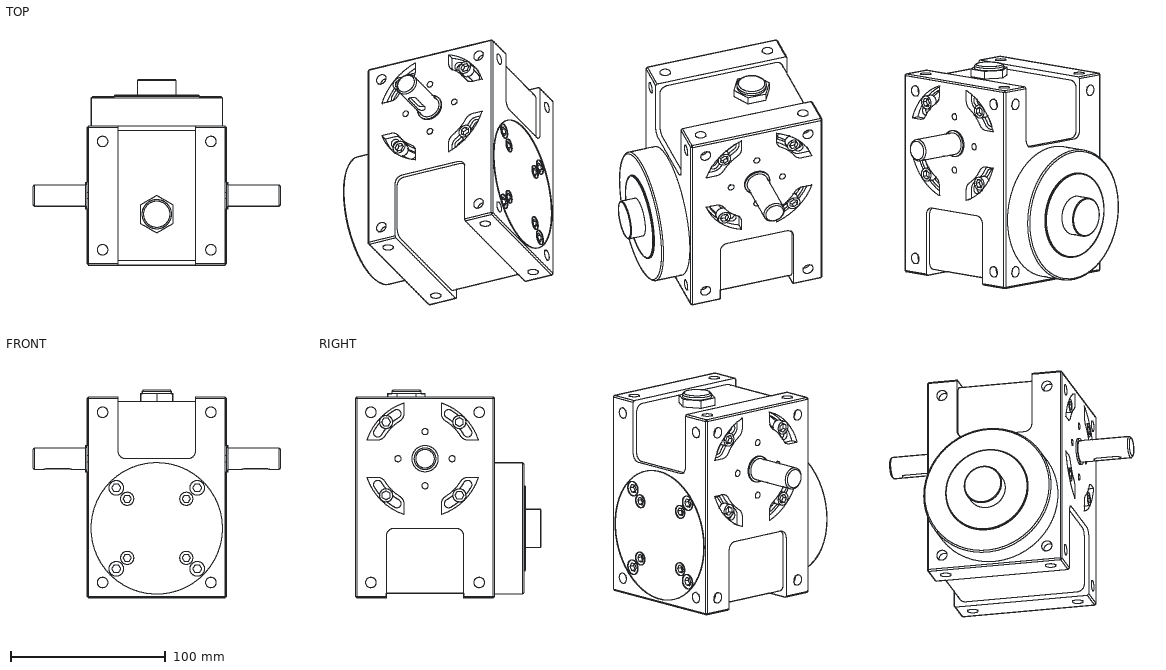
import cadquery as cq
import math


WIDTH = 90.0
HALF_WIDTH = WIDTH / 2
CENTRE_DISTANCE = 45.0
BOTTOM_Z = -HALF_WIDTH
TOP_Z = 85.0
HEIGHT = TOP_Z - BOTTOM_Z
MID_Z = (TOP_Z + BOTTOM_Z) / 2
HOUSING_CHAMFER = 1.0

SADDLE_WIDTH = 50.0
SADDLE_DEPTH = 3.0
SADDLE_RADIUS = 5.0
TOP_SADDLE_HEIGHT = TOP_Z - CENTRE_DISTANCE
BOTTOM_SADDLE_HEIGHT = -BOTTOM_Z

MOUNT_HOLE_DIAMETER = 6.8
MOUNT_HOLE_DEPTH = 6.0
MOUNT_HOLE_INSET = 10.0

FLANGE_DIAMETER = 85.0
FLANGE_END_Y = 64.0
FLANGE_CHAMFER = 1.0
SHOULDER_DIAMETER = 55.0
SHOULDER_END_Y = 65.0
SHOULDER_CHAMFER = 0.5
OUTPUT_SHAFT_DIAMETER = 25.0
OUTPUT_SHAFT_END_Y = 75.0
OUTPUT_SHAFT_CHAMFER = 0.5

COVER_DIAMETER = 85.0
COVER_RECESS = 0.5
COVER_PLATE_DIAMETER = 63.0
OUTER_SCREW_CIRCLE = 74.0
OUTER_SCREW_HEAD = 9.5
OUTER_SCREW_SOCKET = 5.0
INNER_SCREW_CIRCLE = 54.0
INNER_SCREW_HEAD = 8.5
INNER_SCREW_SOCKET = 4.5
COVER_SCREW_RECESS = 0.5

INPUT_SHAFT_DIAMETER = 14.0
INPUT_SHAFT_LENGTH = 160.0
INPUT_SHAFT_CHAMFER = 1.0
COLLAR_DIAMETER = 17.0
COLLAR_HEIGHT = 1.0
KEYWAY_WIDTH = 5.0
KEYWAY_DEPTH = 3.0
KEYWAY_START_X = 55.0
KEYWAY_LENGTH = 18.0

BEARING_COVER_Y = -1.5
BEARING_COVER_DIAMETER = 76.0
BEARING_RING_DIAMETER = 44.0
SEAL_DIAMETER = 28.0
RING_HOLE_CIRCLE = 35.0
RING_HOLE_DIAMETER = 4.0
RING_HOLE_DEPTH = 5.0
CLAMP_CIRCLE = 67.0
CLAMP_POCKET_INNER_RADIUS = 28.5
CLAMP_POCKET_WALL = 12.0
CLAMP_POCKET_FILLET = 6.0
CLAMP_POCKET_DEPTH = 5.0
CLAMP_SLOT_WIDTH = 5.5
CLAMP_SLOT_DEPTH = 3.0
CLAMP_SLOT_HALF_ANGLE = 15.0
CLAMP_HEAD_DIAMETER = 8.5
CLAMP_HEAD_HEIGHT = 5.0
CLAMP_SOCKET = 5.0

FILLER_Y = -12.0
FILLER_HEX = 21.0
FILLER_HEX_HEIGHT = 5.0
FILLER_CAP_DIAMETER = 19.0
FILLER_CAP_HEIGHT = 2.5
FILLER_CAP_CHAMFER = 1.0

SOCKET_DEPTH = 3.0
FLUSH_DISC_DEPTH = 5.0
DIAGONAL = 45
QUARTER_TURNS = (0, 90, 180, 270)


def polar(diameter, angle):
    radius = diameter / 2
    return (radius * math.cos(math.radians(angle)), radius * math.sin(math.radians(angle)))


def hex_corners(across_flats):
    return across_flats / math.cos(math.radians(30))


FRONT = cq.Plane(origin=(0, -HALF_WIDTH, 0), xDir=(1, 0, 0), normal=(0, -1, 0))
LEFT = cq.Plane(origin=(-HALF_WIDTH, 0, CENTRE_DISTANCE), xDir=(0, -1, 0), normal=(-1, 0, 0))


def saddle_cutter(height):
    """Recess over the top and down two sides, open upwards from z = 0 to the height."""
    outer = cq.Workplane("XY").box(SADDLE_WIDTH, WIDTH, height, centered=(True, True, False))
    outer = outer.edges("|Y and <Z").fillet(SADDLE_RADIUS)
    core_width = WIDTH - 2 * SADDLE_DEPTH
    core_height = height - SADDLE_DEPTH
    core = cq.Workplane("XY").box(SADDLE_WIDTH, core_width, core_height, centered=(True, True, False))
    core = core.edges("|X and >Z").fillet(SADDLE_RADIUS)
    return outer.cut(core)


def housing():
    body = cq.Workplane("XY").box(WIDTH, WIDTH, HEIGHT).translate((0, 0, MID_Z))
    body = body.edges().chamfer(HOUSING_CHAMFER)
    body = body.cut(saddle_cutter(TOP_SADDLE_HEIGHT).translate((0, 0, CENTRE_DISTANCE)))
    bottom = saddle_cutter(BOTTOM_SADDLE_HEIGHT).rotate((0, 0, 0), (1, 0, 0), 180)
    return body.cut(bottom.rotate((0, 0, 0), (0, 0, 1), 90))


def mount_holes():
    """Four blind holes drilled into each of the six faces."""
    width_pitch = WIDTH - 2 * MOUNT_HOLE_INSET
    height_pitch = HEIGHT - 2 * MOUNT_HOLE_INSET
    middle = cq.Vector(0, 0, MID_Z)
    faces = (
        ((1, 0, 0), (0, 1, 0), HALF_WIDTH, height_pitch),
        ((0, 1, 0), (1, 0, 0), HALF_WIDTH, height_pitch),
        ((0, 0, 1), (1, 0, 0), HEIGHT / 2, width_pitch),
    )
    holes = cq.Workplane("XY")
    for axis, x_dir, distance, pitch in faces:
        for side in (-1, 1):
            normal = cq.Vector(axis) * side
            origin = middle + normal * distance
            drill = cq.Workplane(cq.Plane(origin, x_dir, normal)).rarray(width_pitch, pitch, 2, 2)
            holes = holes.add(drill.circle(MOUNT_HOLE_DIAMETER / 2).extrude(-MOUNT_HOLE_DEPTH))
    return holes.combine()


def disc_along_y(diameter, end_y, chamfer):
    """Disc standing on the +Y face, with its outer rim chamfered."""
    disc = cq.Workplane("XZ", origin=(0, HALF_WIDTH, 0)).circle(diameter / 2).extrude(HALF_WIDTH - end_y)
    return disc.faces(">Y").chamfer(chamfer)


def output_side():
    flange = disc_along_y(FLANGE_DIAMETER, FLANGE_END_Y, FLANGE_CHAMFER)
    shoulder = disc_along_y(SHOULDER_DIAMETER, SHOULDER_END_Y, SHOULDER_CHAMFER)
    shaft = disc_along_y(OUTPUT_SHAFT_DIAMETER, OUTPUT_SHAFT_END_Y, OUTPUT_SHAFT_CHAMFER)
    return flange.union(shoulder).union(shaft)


def cover_cut():
    """Shallow seat of the round cover with the hollows of its screw heads."""
    seat = cq.Workplane(FRONT).circle(COVER_DIAMETER / 2).extrude(-COVER_RECESS)
    screws = (
        (OUTER_SCREW_CIRCLE, OUTER_SCREW_HEAD, OUTER_SCREW_SOCKET),
        (INNER_SCREW_CIRCLE, INNER_SCREW_HEAD, INNER_SCREW_SOCKET),
    )
    head_depth = COVER_RECESS + COVER_SCREW_RECESS
    for circle, head, socket in screws:
        points = [polar(circle, DIAGONAL + turn) for turn in QUARTER_TURNS]
        heads = cq.Workplane(FRONT).pushPoints(points).circle(head / 2).extrude(-head_depth)
        sockets = cq.Workplane(FRONT).pushPoints(points).polygon(6, hex_corners(socket))
        seat = seat.union(heads).union(sockets.extrude(-head_depth - SOCKET_DEPTH))
    return seat


def clamp_pocket():
    """One corner pocket of the bearing cover, in the quadrant of +X and +Y of a local frame."""
    outer = BEARING_COVER_DIAMETER / 2
    ring = cq.Workplane("XY").circle(outer).circle(CLAMP_POCKET_INNER_RADIUS)
    ring = ring.extrude(-CLAMP_POCKET_DEPTH)
    quadrant = cq.Workplane("XY").rect(outer, outer, centered=False).extrude(-CLAMP_POCKET_DEPTH)
    pocket = ring.intersect(quadrant.translate((CLAMP_POCKET_WALL, CLAMP_POCKET_WALL, 0)))
    near = (0, 0, -outer)
    far = (CLAMP_POCKET_INNER_RADIUS, CLAMP_POCKET_INNER_RADIUS, outer)
    inner_corners = pocket.edges("|Z").edges(cq.selectors.BoxSelector(near, far))
    return inner_corners.fillet(CLAMP_POCKET_FILLET)


def clamp_slot():
    """Curved slot in the floor of the pocket, concentric with the bearing cover."""
    start = polar(CLAMP_CIRCLE, DIAGONAL - CLAMP_SLOT_HALF_ANGLE)
    middle = polar(CLAMP_CIRCLE, DIAGONAL)
    end = polar(CLAMP_CIRCLE, DIAGONAL + CLAMP_SLOT_HALF_ANGLE)
    path = cq.Workplane("XY").moveTo(*start).threePointArc(middle, end)
    outline = path.offset2D(CLAMP_SLOT_WIDTH / 2)
    return outline.extrude(-CLAMP_POCKET_DEPTH - CLAMP_SLOT_DEPTH)


def clamp_cut():
    """Pocket and slot around a cap screw whose head stands in them."""
    cavity = clamp_pocket().union(clamp_slot())
    screw = cq.Workplane("XY").center(*polar(CLAMP_CIRCLE, DIAGONAL))
    head = screw.circle(CLAMP_HEAD_DIAMETER / 2).extrude(-CLAMP_HEAD_HEIGHT)
    socket = screw.polygon(6, hex_corners(CLAMP_SOCKET)).extrude(-SOCKET_DEPTH)
    return cavity.cut(head).union(socket)


def bearing_cover_cut():
    """Clamp pockets of the bearing cover and the tapped holes around the seal, on the -X side."""
    holes = cq.Workplane(LEFT).polarArray(RING_HOLE_CIRCLE / 2, 0, 360, len(QUARTER_TURNS))
    cut = holes.circle(RING_HOLE_DIAMETER / 2).extrude(-RING_HOLE_DEPTH)
    cover_plane = cq.Workplane(LEFT).center(-BEARING_COVER_Y, 0).plane
    for turn in QUARTER_TURNS:
        clamp = clamp_cut().rotate((0, 0, 0), (0, 0, 1), turn)
        cut = cut.add(clamp.val().moved(cover_plane.location))
    return cut


def shaft_end():
    """Keyed input shaft end on the -X side with its collar."""
    overhang = INPUT_SHAFT_LENGTH / 2 - HALF_WIDTH
    shaft = cq.Workplane(LEFT).circle(INPUT_SHAFT_DIAMETER / 2).extrude(overhang)
    shaft = shaft.faces("<X").chamfer(INPUT_SHAFT_CHAMFER)
    collar = cq.Workplane(LEFT).circle(COLLAR_DIAMETER / 2).extrude(COLLAR_HEIGHT)
    keyway_x = -KEYWAY_START_X - KEYWAY_LENGTH / 2
    keyway_z = CENTRE_DISTANCE - INPUT_SHAFT_DIAMETER / 2
    keyway = cq.Workplane("XY").center(keyway_x, 0).slot2D(KEYWAY_LENGTH, KEYWAY_WIDTH)
    keyway = keyway.extrude(KEYWAY_DEPTH).translate((0, 0, keyway_z))
    return shaft.cut(keyway).union(collar)


def seat_flush_disc(body, plane, offset, diameter, depth):
    """Set a flush disc into a face so that its rim stays as a joint line."""
    cylinder = cq.Workplane(plane).center(offset, 0).circle(diameter / 2).extrude(-depth)
    disc = body.intersect(cylinder, clean=False)
    return body.cut(cylinder, clean=False).union(disc, clean=False)


def filler_plug():
    plug = cq.Workplane("XY").polygon(6, hex_corners(FILLER_HEX)).extrude(FILLER_HEX_HEIGHT)
    plug = plug.rotate((0, 0, 0), (0, 0, 1), 30)
    cap_top = FILLER_HEX_HEIGHT + FILLER_CAP_HEIGHT
    cap = cq.Workplane("XY").circle(FILLER_CAP_DIAMETER / 2).extrude(cap_top)
    cap = cap.faces(">Z").chamfer(FILLER_CAP_CHAMFER)
    return plug.union(cap).translate((0, FILLER_Y, TOP_Z - SADDLE_DEPTH))


def gear_unit():
    body = housing().union(output_side()).cut(mount_holes()).cut(cover_cut())
    left_end = shaft_end()
    for cutter in bearing_cover_cut().vals():
        body = body.cut(cq.Workplane(cutter)).cut(cq.Workplane(cutter.mirror("YZ")))
    body = body.union(left_end).union(left_end.mirror("YZ"))
    body = seat_flush_disc(body, FRONT, 0, COVER_PLATE_DIAMETER, FLUSH_DISC_DEPTH)
    discs_around_input = (
        (BEARING_COVER_DIAMETER, -BEARING_COVER_Y),
        (BEARING_RING_DIAMETER, 0),
        (SEAL_DIAMETER, 0),
    )
    for diameter, offset in discs_around_input:
        body = seat_flush_disc(body, LEFT, offset, diameter, FLUSH_DISC_DEPTH)
    return body.union(filler_plug(), clean=False)


result = gear_unit()